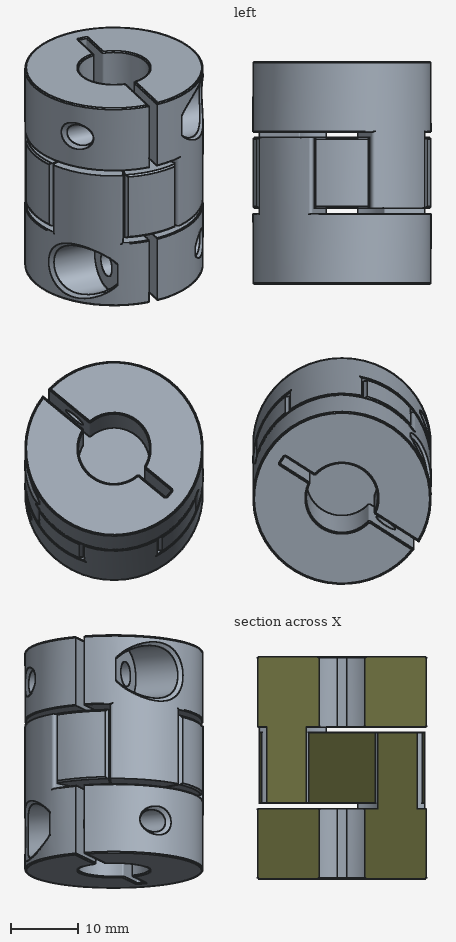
import cadquery as cq
import math

TOTAL_LENGTH = 33.05
OUTER_RADIUS = 13.22
HUB_LENGTH = 10.48
HUB_GAP = 0.8
HUB_END_Z = TOTAL_LENGTH / 2
HUB_FACE_Z = HUB_END_Z - HUB_LENGTH
SPIDER_HALF_LENGTH = HUB_FACE_Z - HUB_GAP

END_CHAMFER = 0.2
FACE_CHAMFER = 0.13
BORE_RADIUS = 5.3

SLIT_WIDTH = 1.35
SLIT_REACH = 10.6
SLIT_CORNER_RADIUS = 0.15
BORE_EDGE_FILLET = 0.25

JAW_INNER_RADIUS = 6.68
JAW_HALF_ANGLE = 25.0
JAW_OUTER_FILLET = 0.43
JAW_INNER_FILLET = 0.2
JAW_ROOT_Z = HUB_FACE_Z + HUB_LENGTH / 2
JAW_DIRECTIONS = (45, 225)

JAW_CLEARANCE = 0.23
CORE_RADIUS = JAW_INNER_RADIUS - JAW_CLEARANCE
LOBE_COUNT = 4
LOBE_OVERLAP = 0.33
LOBE_RIM_CHAMFER = 0.25
LOBE_SIDE_CHAMFER = 0.45
LOBE_TO_JAW_ANGLE = 180 / LOBE_COUNT

SCREW_X = 8.23
SCREW_Z = HUB_END_Z - HUB_LENGTH / 2
TAP_DIAMETER = 3.35
CLEARANCE_DIAMETER = 3.75
HEAD_DIAMETER = 7.95
HEAD_SEAT_Y = 5.3
MOUTH_CHAMFER = 0.5


def polar(radius, degrees):
    """Point in the XY plane at a radius and an angle from +X."""
    angle = math.radians(degrees)
    return (radius * math.cos(angle), radius * math.sin(angle))


def upright_edges(body, low_radius, high_radius):
    """Edges parallel to Z whose distance from the axis lies within the limits."""
    return body.edges("|Z").filter(
        lambda edge: low_radius < math.hypot(edge.Center().x, edge.Center().y) < high_radius
    )


def sector(inner_radius, inner_half_angle, outer_half_angle, direction, bottom, top):
    """Ring sector about the axis, out to the outer radius; its half angle may change outwards."""
    ring = (
        cq.Workplane("XY", origin=(0, 0, bottom))
        .circle(OUTER_RADIUS)
        .circle(inner_radius)
        .extrude(top - bottom)
    )
    corners = [
        (0, 0),
        polar(inner_radius, direction - inner_half_angle),
        polar(OUTER_RADIUS, direction - outer_half_angle),
        polar(2 * OUTER_RADIUS, direction - outer_half_angle),
        polar(2 * OUTER_RADIUS, direction + outer_half_angle),
        polar(OUTER_RADIUS, direction + outer_half_angle),
        polar(inner_radius, direction + inner_half_angle),
    ]
    wedge = cq.Workplane("XY", origin=(0, 0, bottom)).polyline(corners).close().extrude(top - bottom)
    return ring.intersect(wedge)


def jaw(direction):
    """Jaw reaching from inside the hub to the far side of the spider, upright corners rounded."""
    body = sector(
        JAW_INNER_RADIUS, JAW_HALF_ANGLE, JAW_HALF_ANGLE, direction, -SPIDER_HALF_LENGTH, JAW_ROOT_Z
    )
    middle_radius = (JAW_INNER_RADIUS + OUTER_RADIUS) / 2
    body = upright_edges(body, middle_radius, 2 * OUTER_RADIUS).fillet(JAW_OUTER_FILLET)
    return upright_edges(body, 0, JAW_INNER_RADIUS + JAW_INNER_FILLET / 2).fillet(JAW_INNER_FILLET)


def slit():
    """Slit that is closed on the -X side and runs out on the +X side."""
    length = SLIT_REACH + 2 * OUTER_RADIUS
    return (
        cq.Workplane("XY", origin=(length / 2 - SLIT_REACH, 0, HUB_FACE_Z))
        .rect(length, SLIT_WIDTH)
        .extrude(HUB_LENGTH)
        .edges("|Z and <X")
        .fillet(SLIT_CORNER_RADIUS)
    )


def screw_cylinder(diameter, start_y, end_y):
    """Cylinder on the screw axis between two Y positions."""
    length = end_y - start_y
    return cq.Workplane("XZ", origin=(SCREW_X, start_y, SCREW_Z)).circle(diameter / 2).extrude(-length)


def chamfer_mouth(body, side):
    """Chamfer the edge where a screw cylinder leaves the hub on one side of the slit plane."""
    mouth = body.edges("%BSPLINE").filter(
        lambda edge: side * edge.Center().y > HEAD_SEAT_Y
        and abs(edge.Center().z - SCREW_Z) < TAP_DIAMETER / 2
    )
    return mouth.chamfer(MOUTH_CHAMFER)


def hub():
    """Upper clamp hub: bored and slit ring, two jaws and the screw hole with its head on +Y."""
    body = cq.Workplane("XY", origin=(0, 0, HUB_FACE_Z)).circle(OUTER_RADIUS).extrude(HUB_LENGTH)
    body = body.faces("<Z").chamfer(FACE_CHAMFER)
    body = body.faces(">Z").workplane().circle(BORE_RADIUS).cutThruAll()
    body = body.cut(slit())
    body = upright_edges(body, BORE_RADIUS / 2, BORE_RADIUS + SLIT_CORNER_RADIUS).fillet(BORE_EDGE_FILLET)
    body = body.faces(">Z").chamfer(END_CHAMFER)
    for direction in JAW_DIRECTIONS:
        body = body.union(jaw(direction))
    body = body.cut(screw_cylinder(TAP_DIAMETER, -OUTER_RADIUS, 0))
    body = body.cut(screw_cylinder(CLEARANCE_DIAMETER, 0, OUTER_RADIUS))
    body = body.cut(screw_cylinder(HEAD_DIAMETER, HEAD_SEAT_Y, OUTER_RADIUS))
    body = chamfer_mouth(body, -1)
    return chamfer_mouth(body, 1)


def lobe_half_angle(radius):
    """Half angle of a lobe, at a radius, that leaves an even gap beside each jaw."""
    return LOBE_TO_JAW_ANGLE - JAW_HALF_ANGLE - math.degrees(math.asin(JAW_CLEARANCE / radius))


def lobe(direction):
    """Spider lobe whose sides stay parallel to the jaw sides, outer edges chamfered."""
    root_radius = CORE_RADIUS - LOBE_OVERLAP
    body = sector(
        root_radius,
        lobe_half_angle(root_radius),
        lobe_half_angle(OUTER_RADIUS),
        direction,
        -SPIDER_HALF_LENGTH,
        SPIDER_HALF_LENGTH,
    )
    body = upright_edges(body, CORE_RADIUS, 2 * OUTER_RADIUS).chamfer(LOBE_SIDE_CHAMFER)
    outward = cq.Vector(*polar(1, direction), 0)
    outer_face = body.faces(cq.selectors.DirectionMinMaxSelector(outward))
    return outer_face.edges("%CIRCLE").chamfer(LOBE_RIM_CHAMFER)


def spider():
    """Solid core with evenly spaced lobes."""
    body = (
        cq.Workplane("XY", origin=(0, 0, -SPIDER_HALF_LENGTH))
        .circle(CORE_RADIUS)
        .extrude(2 * SPIDER_HALF_LENGTH)
    )
    for index in range(LOBE_COUNT):
        body = body.union(lobe(360 * index / LOBE_COUNT))
    return body


upper_hub = hub()
lower_hub = hub().rotate((0, 0, 0), (1, 0, 0), 180)
coupling_spider = spider()

result = cq.Compound.makeCompound([upper_hub.val(), lower_hub.val(), coupling_spider.val()])